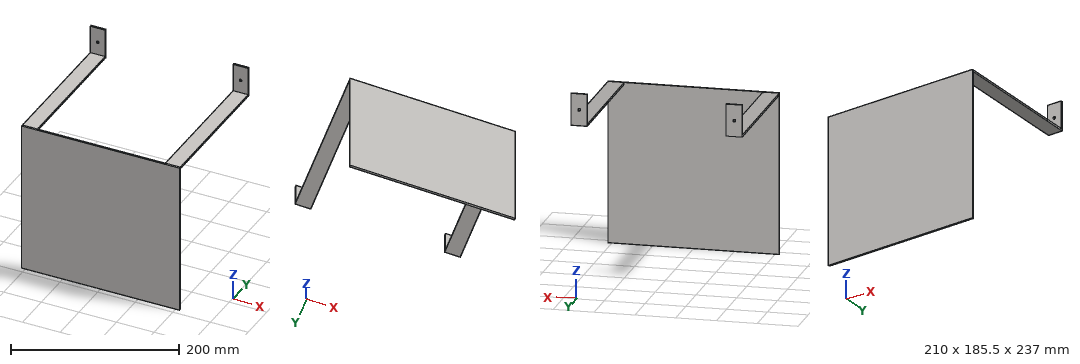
import cadquery as cq

WIDTH = 210.0
DEPTH = 185.5
HEIGHT = 237.0

PANEL_HEIGHT = 200.0
THICKNESS = 2.5

STRAP_WIDTH = 20.0
HOLE_DIAMETER = 3.0
HOLE_DROP = 20.0

ARM_BOTTOM = PANEL_HEIGHT - THICKNESS


def make_panel():
    """Plain rectangular plate with its lower front left corner at the origin."""
    return cq.Workplane("XY").box(WIDTH, THICKNESS, PANEL_HEIGHT, centered=False)


def make_bracket(left):
    """Strap with a level arm behind the panel and an upturned, drilled mounting tab."""
    arm = (
        cq.Workplane("XY")
        .box(STRAP_WIDTH, DEPTH - THICKNESS, THICKNESS, centered=False)
        .translate((left, THICKNESS, ARM_BOTTOM))
    )
    tab = (
        cq.Workplane("XY")
        .box(STRAP_WIDTH, THICKNESS, HEIGHT - ARM_BOTTOM, centered=False)
        .translate((left, DEPTH - THICKNESS, ARM_BOTTOM))
    )
    screw_hole = (
        cq.Workplane("XZ", origin=(left + STRAP_WIDTH / 2, DEPTH, HEIGHT - HOLE_DROP))
        .circle(HOLE_DIAMETER / 2)
        .extrude(THICKNESS)
    )
    return arm.union(tab).cut(screw_hole)


panel = make_panel()
brackets = [make_bracket(left) for left in (0, WIDTH - STRAP_WIDTH)]

result = cq.Compound.makeCompound([panel.val(), *[bracket.val() for bracket in brackets]])